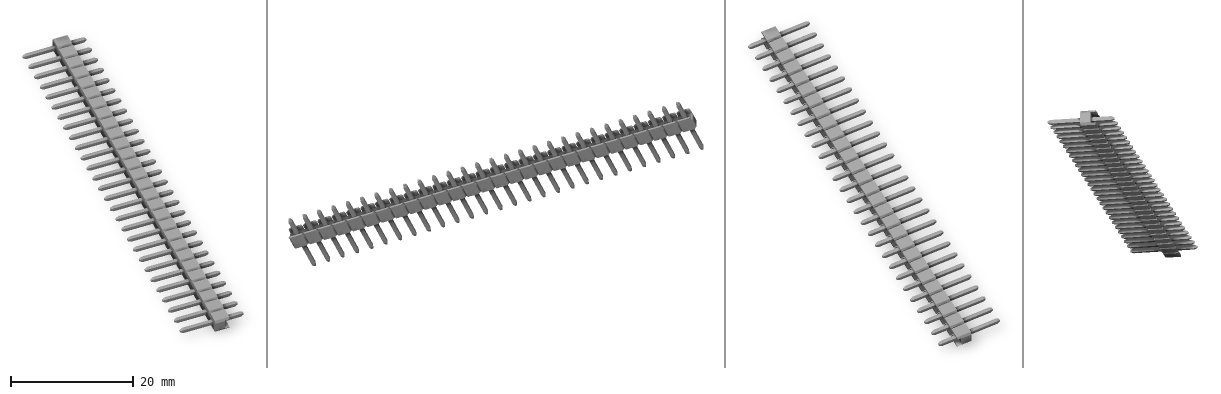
import cadquery as cq

LENGTH = 71.1
PIN_COUNT = 28
PITCH = LENGTH / PIN_COUNT

BODY_HEIGHT = 2.5
BODY_DEPTH = 2.55
CORNER_X = 0.3
CORNER_Z = 0.4
GROOVE_DEPTH = 0.85
LIP_THICKNESS = 0.35

PIN_LENGTH = 11.2
PIN_WIDTH = 0.65
TAIL_LENGTH = 2.9
TIP_LENGTH = 0.5
TIP_WIDTH = 0.32
PIN_OFFSET_X = -0.09

BODY_BACK = PIN_LENGTH / 2 - TAIL_LENGTH
BODY_FRONT = BODY_BACK - BODY_DEPTH
SHANK_LENGTH = PIN_LENGTH - 2 * TIP_LENGTH


def body_segment():
    """One pitch of the insulator: an octagonal prism along Y, centred on X = 0."""
    half_width = PITCH / 2
    half_height = BODY_HEIGHT / 2
    flat_x = half_width - CORNER_X
    flat_z = half_height - CORNER_Z
    outline = [
        (-flat_x, -half_height),
        (flat_x, -half_height),
        (half_width, -flat_z),
        (half_width, flat_z),
        (flat_x, half_height),
        (-flat_x, half_height),
        (-half_width, flat_z),
        (-half_width, -flat_z),
    ]
    return (
        cq.Workplane("XZ", origin=(0, BODY_FRONT, 0))
        .polyline(outline)
        .close()
        .extrude(-BODY_DEPTH)
    )


def back_groove():
    """Channel along the +Y face, open at both ends, leaving a lip above and below."""
    groove_height = BODY_HEIGHT - 2 * LIP_THICKNESS
    groove_centre_y = BODY_BACK - GROOVE_DEPTH / 2
    groove = cq.Workplane("XY").box(LENGTH, GROOVE_DEPTH, groove_height)
    return groove.translate((0, groove_centre_y, 0))


def pin():
    """Square pin along Y with a blunt tapered tip at each end, centred on X = 0."""
    half_shank = SHANK_LENGTH / 2
    shank = cq.Workplane("XY").box(PIN_WIDTH, SHANK_LENGTH, PIN_WIDTH)
    front_tip = (
        cq.Workplane("XZ", origin=(0, -half_shank, 0))
        .rect(PIN_WIDTH, PIN_WIDTH)
        .workplane(offset=TIP_LENGTH)
        .rect(TIP_WIDTH, TIP_WIDTH)
        .loft(ruled=True)
    )
    return shank.union(front_tip).union(front_tip.mirror("XZ"))


def row_of(item, offset_x=0):
    """One copy of the item per segment, moved along X by the offset."""
    first_x = (PITCH - LENGTH) / 2 + offset_x
    positions = [(first_x + index * PITCH, 0) for index in range(PIN_COUNT)]
    shape = item.val()
    points = cq.Workplane("XY").pushPoints(positions)
    return points.eachpoint(lambda place: shape.moved(place), combine=False)


body = row_of(body_segment()).combine().cut(back_groove())
result = body.union(row_of(pin(), PIN_OFFSET_X))